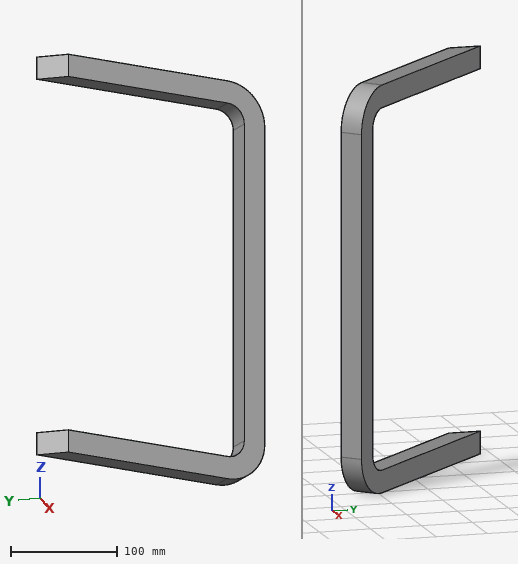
import cadquery as cq
import math

height = 394.0
reach_x = 164.5
bar = 22.0
bend_outer_radius = 40.0
bend_inner_radius = bend_outer_radius - bar
plan_angle = 45.0

leg_length = reach_x / math.cos(math.radians(plan_angle))


def rounded_plate(length, plate_height, radius):
    """Upright plate starting at X = 0, with its two far corners rounded."""
    return (
        cq.Workplane("XZ")
        .rect(2 * length, plate_height)
        .extrude(bar)
        .edges("|Y and >X")
        .fillet(radius)
    )


outer = rounded_plate(leg_length, height, bend_outer_radius)
inner = rounded_plate(leg_length - bar, height - 2 * bar, bend_inner_radius)
handle = outer.cut(inner)

turned = handle.rotate((0, 0, 0), (0, 0, 1), -plan_angle)
keep_side = 2 * height
keep_region = cq.Workplane("XY").box(
    keep_side, keep_side, keep_side, centered=(False, True, True)
)
result = turned.intersect(keep_region)